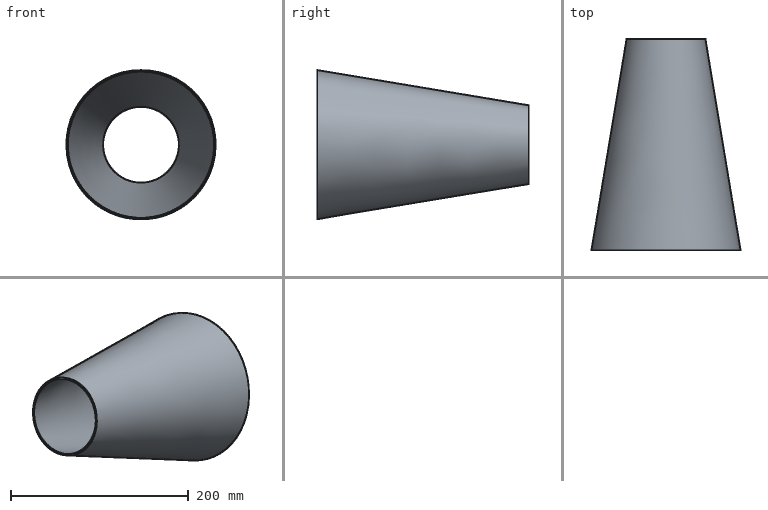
import cadquery as cq

length = 238.0
large_diameter = 168.3
small_diameter = 89.0
wall = 2.0

large_radius = large_diameter / 2
small_radius = small_diameter / 2

wall_section = [
    (0, large_radius - wall),
    (0, large_radius),
    (length, small_radius),
    (length, small_radius - wall),
]

axis_start = (0, 0)
axis_end = (length, 0)
result = cq.Workplane("YZ").polyline(wall_section).close().revolve(360, axis_start, axis_end)